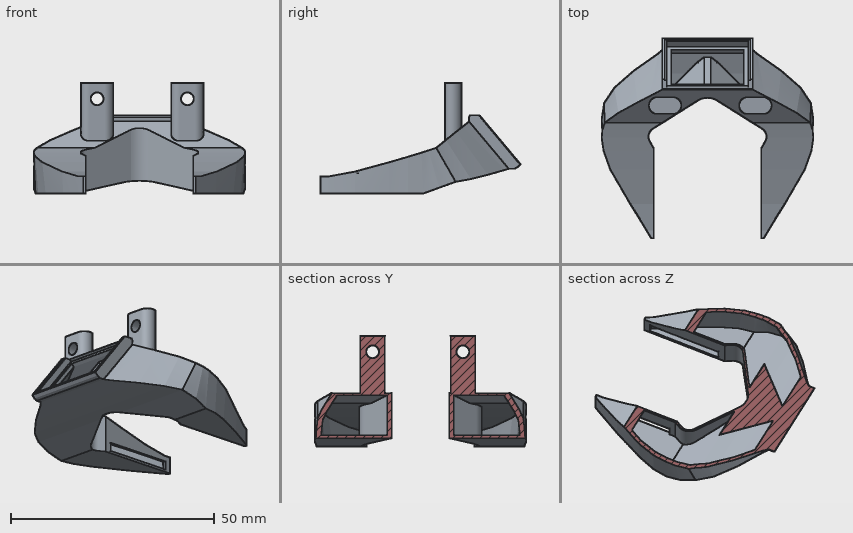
import cadquery as cq
import math


KNEE_Y = 28.45
KNEE_Z = 11.25
RAMP_SLOPE = 0.8


def ramp_edge(half_width, y):
    """Edge point on the ramp as half width, y and z."""
    return half_width, y, KNEE_Z + RAMP_SLOPE * (y - KNEE_Y)


STATIONS = [
    (ramp_edge(11.15, 36.55), (11.15, 46.35, 6.05)),
    (ramp_edge(14.1, 35.05), (12.25, 45.35, 5.8)),
    (ramp_edge(17.2, 33.45), (18.2, 41.2, 4.6)),
    (ramp_edge(21.9, 30.85), (22.95, 37.05, 3.55)),
    (ramp_edge(25.25, KNEE_Y), (25.45, 33.25, 2.85)),
    ((25.85, 26.6, 10.65), (26.1, 29.2, 1.4)),
    ((26.1, 24.8, 10.05), (25.55, 25.35, 0.0)),
    ((25.6, 21.55, 9.1), (24.95, 21.55, 0.0)),
    ((23.95, 16.9, 7.7), (23.1, 16.9, 0.0)),
    ((19.05, 8.45, 5.4), (18.8, 8.45, 0.0)),
    ((15.0, 1.95, 4.2), (15.0, 1.95, 0.0)),
    ((13.85, 0.0, 4.2), (13.85, 0.0, 0.0)),
]
WALL = 0.6
SIDE_WALL = 1.35

ARM_GAP = 26.4
ARM_INNER_LENGTH = 22.1
NOTCH_APEX_Y = 34.5
TALL = 31.3
OVERRUN = 2.6

OUTLET_Y = (1.55, 20.35)
OUTLET_Z = (0.6, 2.75)

MOUTH_LOW = (49.25, 7.2)
MOUTH_HIGH = (39.1, 19.3)
SOCKET_WIDTH = 22.3
POCKET_WIDTH = 20.0
POCKET_LOW = -6.85
POCKET_HIGH = 8.85
POCKET_DEPTH = 1.9
MOUTH_STEP_DEPTH = 0.15
MOUTH_STEP_WIDTH = 21.05
MOUTH_STEP_LOW = -7.4
MOUTH_STEP_HIGH = 8.95
RIM_DEPTH = 2.9
OPENING_WIDTH = 17.85
OPENING_LOW = -5.7
OPENING_HIGH = 7.5

SPLITTER_FLOOR = (45.0, 6.15)
SPLITTER_TOP = (35.7, 17.2)
SPLITTER_FRONT_Y = 33.4
CREST_HALF_WIDTH = 0.85

POST_CENTERS_X = (-10.45, 11.8)
POST_Y = 32.65
POST_LENGTH = 8.0
POST_THICKNESS = 4.1
POST_ROOT_Z = 12.5
POST_TOP_Z = 27.2
POST_HOLE_DIAMETER = 3.1
POST_HOLE_Z = 23.3

mouth_rise = MOUTH_HIGH[1] - MOUTH_LOW[1]
mouth_run = MOUTH_LOW[0] - MOUTH_HIGH[0]
mouth_length = math.hypot(mouth_rise, mouth_run)
normal_y = mouth_rise / mouth_length
normal_z = mouth_run / mouth_length
mouth_center_y = (MOUTH_LOW[0] + MOUTH_HIGH[0]) / 2
mouth_center_z = (MOUTH_LOW[1] + MOUTH_HIGH[1]) / 2


def ruled_solid(sections):
    """Join planar polygons, given as lists of 3D points, by straight sides."""
    wires = [
        cq.Wire.makePolygon([cq.Vector(*p) for p in points], close=True)
        for points in sections
    ]
    return cq.Workplane(obj=cq.Solid.makeLoft(wires, True))


def cross_section(top, bottom):
    """Symmetric four-sided section between a top edge and a bottom edge."""
    top_x, top_y, top_z = top
    bottom_x, bottom_y, bottom_z = bottom
    return [
        (-top_x, top_y, top_z),
        (top_x, top_y, top_z),
        (bottom_x, bottom_y, bottom_z),
        (-bottom_x, bottom_y, bottom_z),
    ]


def mouth_edge(half_width, up_slope, depth):
    """Edge in the socket, at a distance up the mouth and a depth below it."""
    y = mouth_center_y - normal_z * up_slope - normal_y * depth
    z = mouth_center_z + normal_y * up_slope - normal_z * depth
    return half_width, y, z


def notch():
    half_gap = ARM_GAP / 2
    return (
        cq.Workplane("XY")
        .moveTo(-half_gap, -OVERRUN)
        .lineTo(half_gap, -OVERRUN)
        .lineTo(half_gap, ARM_INNER_LENGTH)
        .lineTo(14.25, 23.95)
        .threePointArc((14.4, 25.65), (13.3, 27.0))
        .lineTo(2.1, 34.05)
        .threePointArc((0, NOTCH_APEX_Y), (-2.1, 34.05))
        .lineTo(-13.3, 27.0)
        .threePointArc((-14.4, 25.65), (-14.25, 23.95))
        .lineTo(-half_gap, ARM_INNER_LENGTH)
        .close()
    )


def socket():
    """Rim block with its back on the first station and a clipped high corner."""
    back_high = STATIONS[0][0][1:]
    back_low = STATIONS[0][1][1:]
    profile = [
        MOUTH_LOW,
        MOUTH_HIGH,
        (36.75, MOUTH_HIGH[1]),
        (36.5, 18.7),
        back_high,
        back_low,
        (47.7, back_low[1]),
        (48.5, 6.45),
    ]
    return cq.Workplane("YZ").polyline(profile).close().extrude(SOCKET_WIDTH / 2, both=True)


def socket_recess(width, low, high, depth):
    """Rectangular recess square to the mouth, from low to high up its slope."""
    mouth = cq.Plane(
        origin=(0, mouth_center_y, mouth_center_z),
        xDir=(1, 0, 0),
        normal=(0, -normal_y, -normal_z),
    )
    return (
        cq.Workplane(mouth)
        .center(0, (low + high) / 2)
        .rect(width, high - low)
        .extrude(depth)
    )


def pocket():
    main = socket_recess(POCKET_WIDTH, POCKET_LOW, POCKET_HIGH, POCKET_DEPTH)
    step = socket_recess(MOUTH_STEP_WIDTH, MOUTH_STEP_LOW, MOUTH_STEP_HIGH, MOUTH_STEP_DEPTH)
    return main.union(step)


def splitter():
    """Wedge with a sloping crest that divides the flow between the arms."""
    sections = []
    for crest_y, z in (SPLITTER_FLOOR, SPLITTER_TOP):
        spread = CREST_HALF_WIDTH + crest_y - SPLITTER_FRONT_Y
        sections.append([
            (-CREST_HALF_WIDTH, crest_y, z),
            (CREST_HALF_WIDTH, crest_y, z),
            (spread, SPLITTER_FRONT_Y, z),
            (-spread, SPLITTER_FRONT_Y, z),
        ])
    return ruled_solid(sections)


def air_passage():
    half_opening = OPENING_WIDTH / 2
    sections = [
        cross_section(
            mouth_edge(half_opening, OPENING_HIGH, depth),
            mouth_edge(half_opening, OPENING_LOW, depth),
        )
        for depth in (POCKET_DEPTH - WALL, RIM_DEPTH)
    ]
    for top, bottom in STATIONS[2:-1]:
        inner_top = (top[0] - SIDE_WALL, top[1], top[2] - WALL)
        inner_bottom = (bottom[0] - SIDE_WALL, bottom[1] - WALL, bottom[2] + WALL)
        sections.append(cross_section(inner_top, inner_bottom))
    notch_wall = notch().offset2D(WALL).extrude(TALL)
    return ruled_solid(sections).cut(notch_wall).cut(splitter())


def outlets():
    return (
        cq.Workplane("YZ")
        .moveTo(sum(OUTLET_Y) / 2, sum(OUTLET_Z) / 2)
        .rect(OUTLET_Y[1] - OUTLET_Y[0], OUTLET_Z[1] - OUTLET_Z[0])
        .extrude(ARM_GAP / 2 + WALL, both=True)
    )


def posts():
    blanks = (
        cq.Workplane("XY", origin=(0, 0, POST_ROOT_Z))
        .pushPoints([(x, POST_Y) for x in POST_CENTERS_X])
        .slot2D(POST_LENGTH, POST_THICKNESS)
        .extrude(POST_TOP_Z - POST_ROOT_Z)
    )
    holes = (
        cq.Workplane("XZ", origin=(0, POST_Y, 0))
        .pushPoints([(x, POST_HOLE_Z) for x in POST_CENTERS_X])
        .circle(POST_HOLE_DIAMETER / 2)
        .extrude(POST_THICKNESS, both=True)
    )
    return blanks.cut(holes)


body = ruled_solid([cross_section(top, bottom) for top, bottom in STATIONS])
body = body.union(socket()).cut(notch().extrude(TALL))
result = body.union(posts()).cut(pocket()).cut(air_passage()).cut(outlets()).clean()